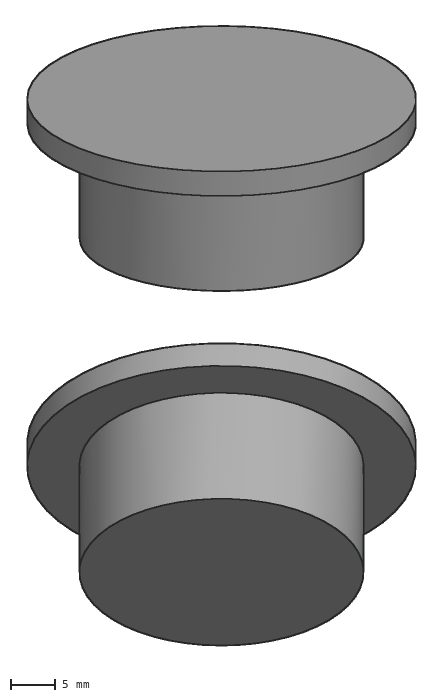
import cadquery as cq

cap_diameter = 43.75
cap_thickness = 2.98
plug_diameter = 32.0
total_height = 16.9

plug_height = total_height - cap_thickness


def make_plug():
    """Round plug standing on the XY plane."""
    return cq.Workplane("XY").circle(plug_diameter / 2).extrude(plug_height)


def make_cap():
    """Wider round disc resting on the top face of the plug."""
    return (
        cq.Workplane("XY")
        .workplane(offset=plug_height)
        .circle(cap_diameter / 2)
        .extrude(cap_thickness)
    )


plug = make_plug()
cap = make_cap()

result = cq.Compound.makeCompound([plug.val(), cap.val()])